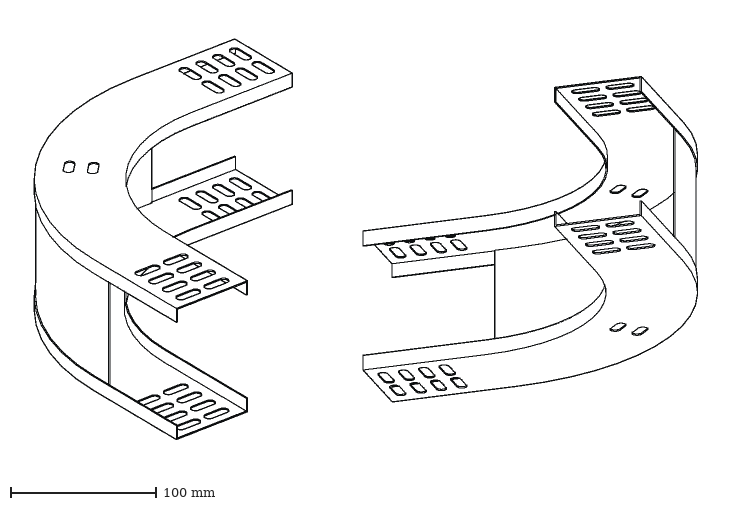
import cadquery as cq
import math

SPAN = 273.8
HEIGHT = 103.0
RAIL_WIDTH = 63.0
FLANGE_HEIGHT = 11.0
SHEET = 1.0

OUTER_RADIUS = 183.7
WALL_TAIL = 15.0
ARM_LENGTH = SPAN - OUTER_RADIUS
MIDDLE_RADIUS = OUTER_RADIUS - RAIL_WIDTH / 2

SLOT_LENGTH = 20.0
SLOT_WIDTH = 7.0
SLOTS_PER_COLUMN = 4
SLOT_END_DISTANCE = 10.5
SLOT_PITCH = 14.8
COLUMN_PITCH = 25.0

BEND_SLOT_LENGTH = 16.2
BEND_SLOT_PITCH = 16.7
BEND_SLOT_ANGLE = 225.0


def bent_strip(inset, width, tail, height):
    """L-shaped strip with a round bend, its outer edge lying inset inside the outer rail edge."""
    outer = OUTER_RADIUS - inset
    inner = outer - width
    diagonal = math.sqrt(0.5)
    return (
        cq.Workplane("XY")
        .moveTo(-outer, tail)
        .lineTo(-outer, 0)
        .threePointArc((-outer * diagonal, -outer * diagonal), (0, -outer))
        .lineTo(tail, -outer)
        .lineTo(tail, -inner)
        .lineTo(0, -inner)
        .threePointArc((-inner * diagonal, -inner * diagonal), (-inner, 0))
        .lineTo(-inner, tail)
        .close()
        .extrude(height)
    )


def arm_slots():
    """Cutters for the slot grids at both arm ends, with the slots lying across the arm."""
    rows = [ARM_LENGTH - SLOT_END_DISTANCE - row * SLOT_PITCH for row in range(SLOTS_PER_COLUMN)]
    columns = [-MIDDLE_RADIUS - COLUMN_PITCH / 2, -MIDDLE_RADIUS + COLUMN_PITCH / 2]
    y_arm_centres = [(across, along) for across in columns for along in rows]
    x_arm_centres = [(along, across) for across in columns for along in rows]
    y_arm = cq.Workplane("XY").pushPoints(y_arm_centres).slot2D(SLOT_LENGTH, SLOT_WIDTH, 0)
    x_arm = cq.Workplane("XY").pushPoints(x_arm_centres).slot2D(SLOT_LENGTH, SLOT_WIDTH, 90)
    return [y_arm.extrude(SHEET), x_arm.extrude(SHEET)]


def bend_slots():
    """Cutter for the two tangential slots in the middle of the bend."""
    offsets = [-BEND_SLOT_PITCH / 2, BEND_SLOT_PITCH / 2]
    return (
        cq.Workplane("XY")
        .pushPoints([(MIDDLE_RADIUS + offset, 0) for offset in offsets])
        .slot2D(BEND_SLOT_LENGTH, SLOT_WIDTH, 90)
        .extrude(SHEET)
        .rotate((0, 0, 0), (0, 0, 1), BEND_SLOT_ANGLE)
    )


def make_rail():
    """Bottom rail: a slotted plate with an upright flange along both long edges."""
    channel = bent_strip(0, RAIL_WIDTH, ARM_LENGTH, FLANGE_HEIGHT)
    trough = bent_strip(SHEET, RAIL_WIDTH - 2 * SHEET, ARM_LENGTH, FLANGE_HEIGHT)
    rail = channel.cut(trough.translate((0, 0, SHEET)))
    for cutter in arm_slots() + [bend_slots()]:
        rail = rail.cut(cutter)
    return rail


def make_wall():
    """Outer wall, standing between the two plates against the inside of the outer flanges."""
    wall_height = HEIGHT - 2 * SHEET
    return bent_strip(SHEET, SHEET, WALL_TAIL, wall_height).translate((0, 0, SHEET))


bottom_rail = make_rail()
rails = [bottom_rail, bottom_rail.mirror("XY", (0, 0, HEIGHT / 2))]
wall = make_wall()

result = cq.Compound.makeCompound([*[rail.val() for rail in rails], wall.val()])